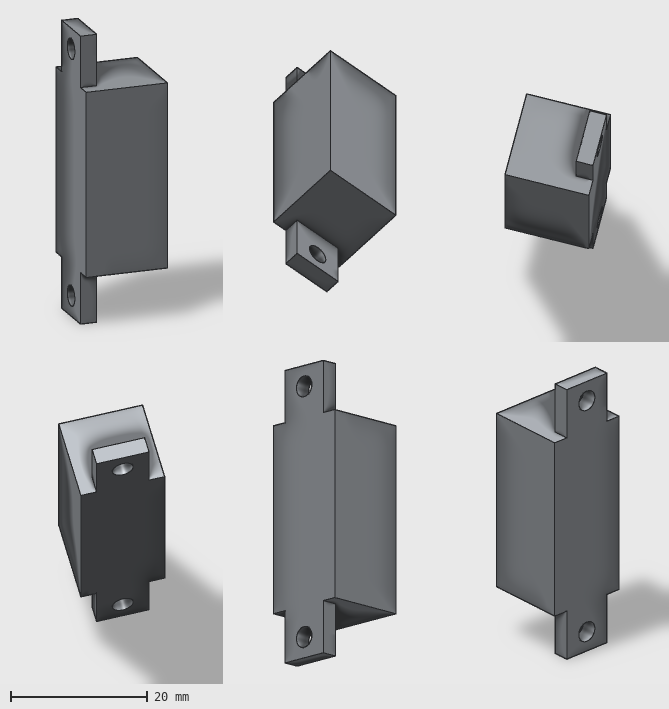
import cadquery as cq

total_height = 44.45
body_side = 12.7
body_height = 28.6

tab_width = 7.95
tab_thickness = 2.55
hole_diameter = 3.15
hole_spacing = 38.1

front_y = -body_side / 2


def make_body():
    """Rectangular block centred on the origin."""
    return cq.Workplane("XY").box(body_side, body_side, body_height)


def make_tab_strip():
    """Full-height strip whose two ends stand out as the mounting tabs."""
    strip = cq.Workplane("XY").box(tab_width, tab_thickness, total_height)
    holes = (
        cq.Workplane("XZ")
        .pushPoints([(0, -hole_spacing / 2), (0, hole_spacing / 2)])
        .circle(hole_diameter / 2)
        .extrude(tab_thickness, both=True)
    )
    return strip.cut(holes).translate((0, front_y + tab_thickness / 2, 0))


result = make_body().union(make_tab_strip())